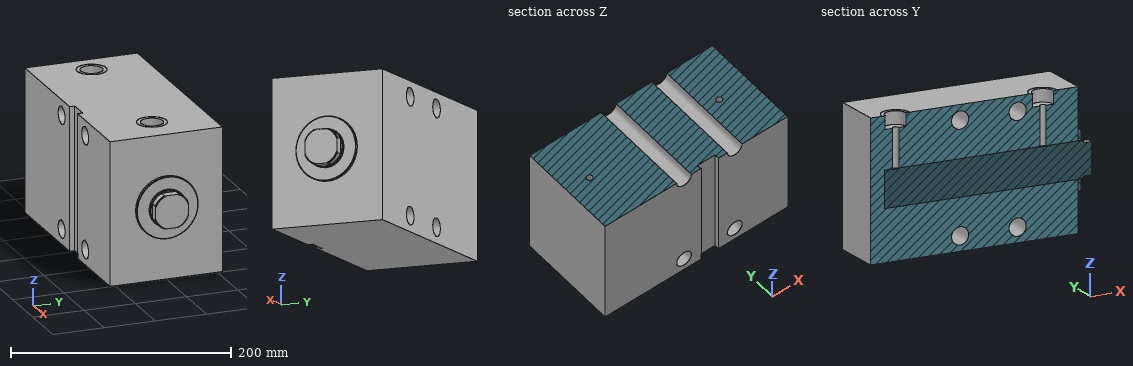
import cadquery as cq

block_length = 213.0
block_depth = 110.0
block_height = 140.0
front_y = -block_depth / 2
top_z = block_height / 2

slot_centre_x = 122.0
slot_width = 20.0
slot_depth = 5.0

bolt_hole_diameter = 17.0
bolt_centre_x = 121.5
bolt_spacing_x = 59.0
bolt_edge_distance = 15.0
bolt_spacing_z = block_height - 2 * bolt_edge_distance

port_positions_x = (26.0, 177.0)
spotface_diameter = 28.0
spotface_depth = 0.2
port_diameter = 21.0
port_depth = 13.0
oil_passage_diameter = 6.0

gland_diameter = 60.0
gland_thickness = 3.0
gland_chamfer = 0.5

rod_diameter = 36.0
rod_start_x = 15.0
rod_collar_length = 3.0
rod_chamfer = 0.7
wrench_diameter = 35.0
wrench_across_flats = 32.0
wrench_length = 8.0
wrench_chamfer = 0.7
rod_shoulder_x = block_length + gland_thickness + rod_collar_length


def cylinder_along_x(start_x, length, diameter):
    return cq.Workplane("YZ", origin=(start_x, 0, 0)).circle(diameter / 2).extrude(length)


def cylinder_down(x, start_z, depth, diameter):
    return cq.Workplane("XY", origin=(x, 0, start_z)).circle(diameter / 2).extrude(-depth)


def make_port(x):
    """Spotface, port bore and the small passage down to the rod axis."""
    spotface = cylinder_down(x, top_z, spotface_depth, spotface_diameter)
    bore = cylinder_down(x, top_z, port_depth, port_diameter)
    passage = cylinder_down(x, top_z, top_z, oil_passage_diameter)
    return spotface.union(bore).union(passage)


def make_block():
    block = cq.Workplane("XY").box(block_length, block_depth, block_height, centered=(False, True, True))
    slot = (
        cq.Workplane("XY", origin=(slot_centre_x, front_y, 0))
        .box(slot_width, slot_depth, block_height, centered=(True, False, True))
    )
    bolt_holes = (
        cq.Workplane("XZ", origin=(bolt_centre_x, front_y, 0))
        .rarray(bolt_spacing_x, bolt_spacing_z, 2, 2)
        .circle(bolt_hole_diameter / 2)
        .extrude(-block_depth)
    )
    rod_bore = cylinder_along_x(rod_start_x, block_length - rod_start_x, rod_diameter)
    block = block.cut(slot).cut(bolt_holes).cut(rod_bore)
    for x in port_positions_x:
        block = block.cut(make_port(x))
    return block


def make_gland():
    disc = cylinder_along_x(block_length, gland_thickness, gland_diameter)
    disc = disc.faces(">X").edges().chamfer(gland_chamfer)
    return disc.cut(cylinder_along_x(block_length, gland_thickness, rod_diameter))


def make_rod():
    shaft = cylinder_along_x(rod_start_x, rod_shoulder_x - rod_start_x, rod_diameter)
    shaft = shaft.faces(">X").edges().chamfer(rod_chamfer)
    wrench_round = cylinder_along_x(rod_shoulder_x, wrench_length, wrench_diameter)
    wrench_round = wrench_round.faces(">X").edges().chamfer(wrench_chamfer)
    wrench_square = (
        cq.Workplane("YZ", origin=(rod_shoulder_x, 0, 0))
        .rect(wrench_across_flats, wrench_across_flats)
        .extrude(wrench_length)
    )
    return shaft.union(wrench_round.intersect(wrench_square))


block = make_block()
gland = make_gland()
rod = make_rod()

result = cq.Compound.makeCompound([block.val(), gland.val(), rod.val()])